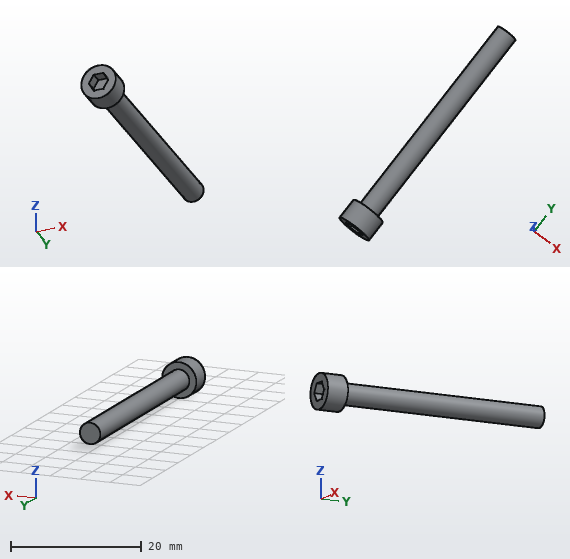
import cadquery as cq
import math

total_length = 38.43
head_diameter = 5.73
shank_diameter = 3.42
head_height = 3.5
socket_across_flats = 2.75
socket_depth = 1.9
socket_across_corners = socket_across_flats / math.cos(math.radians(30))

head_face = cq.Workplane("XZ")

head = head_face.circle(head_diameter / 2).extrude(-head_height)
shank = head_face.circle(shank_diameter / 2).extrude(-total_length)

socket = head_face.polygon(6, socket_across_corners).extrude(-socket_depth)

result = head.union(shank).cut(socket)